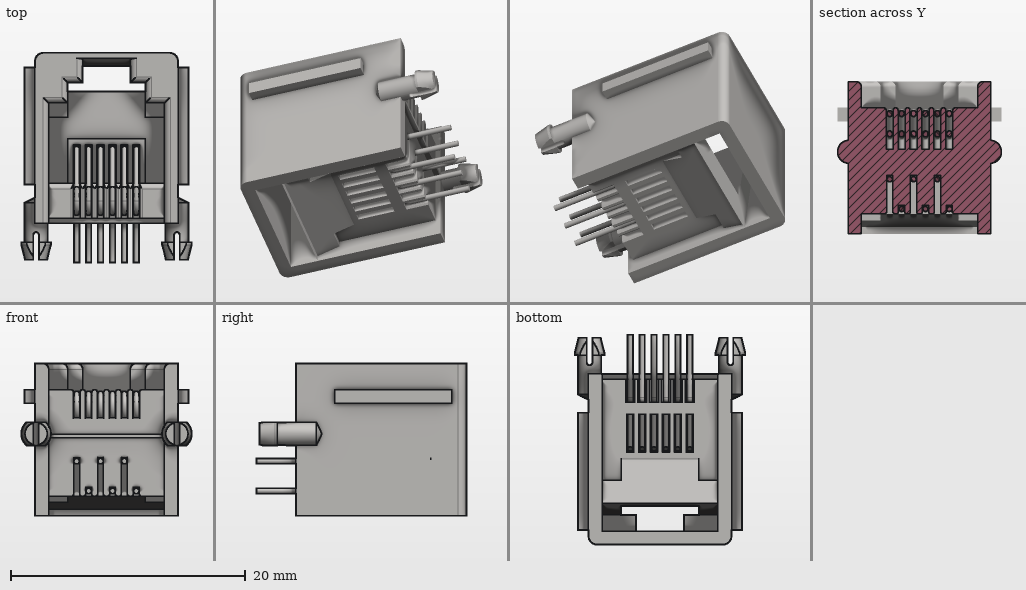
import cadquery as cq
import math


body_width = 12.2
body_depth = 14.55
body_height = 13.0
back_corner_radius = 0.75

main_half_width = 4.93
main_back_y = 10.26
middle_half_width = 3.31
middle_back_y = 12.0
latch_half_width = 2.03
latch_back_y = 14.06
lead_in_radius = 0.5

pocket_back_y = 13.4
pocket_top_z = 9.73
pocket_front_bottom_y = 11.0

floor_bottom_z = 1.68
floor_top_z = 2.5
pad_height = 0.5
pad_top_z = floor_top_z + pad_height
contact_pad_back_y = 7.23
corner_ledge_front_y = 9.04
skirt_end_z = 0.58

carrier_front_y = 0.45
carrier_back_y = 3.44
carrier_top_z = 10.77
bar_bottom_z = 6.65
bar_top_z = 6.97

contact_count = 6
contact_pitch = 1.016
wire_diameter = 0.48
wire_radius = wire_diameter / 2
pin_tip_y = -3.35
low_pin_z = 2.13
pin_row_spacing = 2.54
riser_y = 2.4
wire_bend_radius = 0.4
loop_center_y = 1.93
loop_center_z = 9.39
loop_radius = 1.01
spring_bend_y = 3.0
spring_tip_y = 6.4
spring_angle = 50.0

comb_slot_width = 0.57
comb_slot_bottom_z = 8.39
comb_round_radius = 0.22
floor_slot_back_y = 6.66
pin_slot_width = 0.5
pin_slot_headroom = 0.31
pin_slot_flare = 0.14

rail_half_span = 7.0
rail_front_y = 3.3
rail_length = 10.0
rail_bottom_z = 9.6
rail_height = 1.17

peg_offset = 6.0
peg_z = 7.0
peg_radius = 1.0
peg_root_y = 1.75
peg_cone_tip_y = 2.25
barb_radius = 1.275
barb_back_y = -1.6
barb_band_end_y = -1.8
barb_end_radius = 0.95
peg_end_y = -3.1
peg_slot_width = 0.46
peg_slot_end_y = -0.75


def box(x_range, y_range, z_range):
    """Axis-aligned box between the given limits."""
    size = [high - low for low, high in (x_range, y_range, z_range)]
    corner = (x_range[0], y_range[0], z_range[0])
    return cq.Workplane("XY").box(*size, centered=False).translate(corner)


def side_prism(points, x_low, x_high):
    """Prism along X over a closed outline of (Y, Z) points."""
    return cq.Workplane("YZ").workplane(offset=x_low).polyline(points).close().extrude(x_high - x_low)


def center_span(half_width):
    return (-half_width, half_width)


contact_places = []
for index in range(contact_count):
    contact_x = (index - (contact_count - 1) / 2) * contact_pitch
    in_high_row = index % 2 == 0
    contact_places.append((contact_x, low_pin_z + pin_row_spacing * in_high_row))


def make_shell():
    """Outer block with the stepped plug cavity and its rounded lead-in."""
    shell = box(center_span(body_width / 2), (0, body_depth), (0, body_height))
    shell = shell.edges("|Z and >Y").fillet(back_corner_radius)
    right_side = [
        (main_half_width, 0),
        (main_half_width, main_back_y),
        (middle_half_width, main_back_y),
        (middle_half_width, middle_back_y),
        (latch_half_width, middle_back_y),
        (latch_half_width, latch_back_y),
    ]
    left_side = [(-x, y) for x, y in reversed(right_side)]
    cavity = cq.Workplane("XY").polyline(right_side + left_side).close().extrude(body_height)
    shell = shell.cut(cavity)

    edge_margin = 0.1
    lead_in_zone = cq.selectors.BoxSelector(
        (-main_half_width - edge_margin, -edge_margin, body_height - edge_margin),
        (main_half_width + edge_margin, latch_back_y - edge_margin, body_height + edge_margin),
    )
    return shell.edges(lead_in_zone).fillet(lead_in_radius)


def latch_back_slope():
    """Backing that tilts the back wall of the latch notch and closes it level with the pocket."""
    outline = [
        (latch_back_y, body_height),
        (latch_back_y, 0),
        (pocket_back_y, 0),
        (pocket_back_y, pocket_top_z),
    ]
    half_width = latch_half_width + lead_in_radius
    return side_prism(outline, *center_span(half_width))


def latch_pocket():
    """Drafted relief, as wide as the main cavity, that runs out through the closed end."""
    outline = [
        (pocket_back_y, 0),
        (pocket_back_y, pocket_top_z),
        (middle_back_y, pocket_top_z),
        (pocket_front_bottom_y, 0),
    ]
    return side_prism(outline, *center_span(main_half_width))


def underside_relief():
    """Open space below the floor, with a ceiling that slopes down towards the back."""
    outline = [
        (0, 0),
        (0, floor_bottom_z),
        (contact_pad_back_y, floor_bottom_z),
        (pocket_front_bottom_y, skirt_end_z),
        (pocket_front_bottom_y, 0),
    ]
    relief = side_prism(outline, *center_span(main_half_width))
    for side in (-1, 1):
        x_range = sorted((side * middle_half_width, side * main_half_width))
        relief = relief.union(box(x_range, (0, corner_ledge_front_y), (0, floor_bottom_z)))
    return relief


def make_floor():
    """Floor plate with the contact pad and the two plug-stop ledges standing on it."""
    floor = box(center_span(main_half_width), (carrier_front_y, middle_back_y), (0, floor_top_z))
    floor = floor.union(
        box(center_span(middle_half_width), (carrier_front_y, contact_pad_back_y), (0, pad_top_z))
    )
    for side in (-1, 1):
        x_range = sorted((side * middle_half_width, side * main_half_width))
        floor = floor.union(box(x_range, (corner_ledge_front_y, main_back_y), (0, pad_top_z)))
    return floor


def make_carrier():
    """Block that carries the contacts, with a bar across its front."""
    span = center_span(main_half_width)
    carrier = box(span, (carrier_front_y, carrier_back_y), (floor_bottom_z, carrier_top_z))
    carrier = carrier.edges(">Y and >Z").fillet(lead_in_radius)
    return carrier.union(box(span, (0, carrier_front_y), (bar_bottom_z, bar_top_z)))


def comb_slot(x):
    """Carrier slot with rounded shoulders and a floor that falls like the spring leg."""
    half = comb_slot_width / 2
    shoulder = half + comb_round_radius
    shoulder_z = carrier_top_z - comb_round_radius
    arc_run = comb_round_radius * math.sqrt(0.5)
    floor_drop = (carrier_back_y - carrier_front_y) * math.tan(math.radians(spring_angle))
    falling_floor = [
        (carrier_front_y, comb_slot_bottom_z),
        (carrier_back_y, comb_slot_bottom_z),
        (carrier_back_y, comb_slot_bottom_z - floor_drop),
    ]
    upper_slot = (
        cq.Workplane("XZ", origin=(x, 0, 0))
        .moveTo(-half, comb_slot_bottom_z)
        .lineTo(half, comb_slot_bottom_z)
        .lineTo(half, shoulder_z)
        .threePointArc((shoulder - arc_run, shoulder_z + arc_run), (shoulder, carrier_top_z))
        .lineTo(-shoulder, carrier_top_z)
        .threePointArc((-shoulder + arc_run, shoulder_z + arc_run), (-half, shoulder_z))
        .close()
        .extrude(-carrier_back_y)
    )
    return upper_slot.union(side_prism(falling_floor, x - half, x + half))


def floor_slot(x):
    """Slot through the contact pad below the spring leg."""
    half = comb_slot_width / 2
    return box((x - half, x + half), (carrier_back_y, floor_slot_back_y), (0, pad_top_z))


def pin_slot(x, pin_z):
    """Slot in the carrier front, open and flared at the bottom, that the pin leaves through."""
    half = pin_slot_width / 2
    flared = half + pin_slot_flare
    flare_top_z = floor_bottom_z + pin_slot_flare
    slot_top_z = pin_z + pin_slot_headroom
    outline = [
        (-flared, floor_bottom_z),
        (-half, flare_top_z),
        (-half, slot_top_z),
        (half, slot_top_z),
        (half, flare_top_z),
        (flared, floor_bottom_z),
    ]
    return cq.Workplane("XZ", origin=(x, 0, 0)).polyline(outline).close().extrude(-riser_y)


def make_peg(x):
    """Split snap peg with a conical root and a barbed, flat-sided tip."""
    outline = [
        (0, peg_cone_tip_y),
        (peg_radius, peg_root_y),
        (peg_radius, barb_back_y),
        (barb_radius, barb_back_y),
        (barb_radius, barb_band_end_y),
        (barb_end_radius, peg_end_y),
        (0, peg_end_y),
    ]
    peg = cq.Workplane("XY").polyline(outline).close().revolve(360, (0, 0, 0), (0, 1, 0))
    peg = peg.intersect(
        box(center_span(barb_radius), (peg_end_y, peg_cone_tip_y), center_span(peg_radius))
    )
    slot_center_y = peg_slot_end_y - peg_slot_width / 2
    slot = box(center_span(peg_slot_width / 2), (peg_end_y, slot_center_y), center_span(peg_radius))
    slot_end = (
        cq.Workplane("XY", origin=(0, slot_center_y, -peg_radius))
        .circle(peg_slot_width / 2)
        .extrude(2 * peg_radius)
    )
    return peg.cut(slot).cut(slot_end).translate((x, 0, peg_z))


def make_rails():
    """Guide rails on both outer sides, built as one bar less the space inside the shell."""
    y_range = (rail_front_y, rail_front_y + rail_length)
    z_range = (rail_bottom_z, rail_bottom_z + rail_height)
    bar = box(center_span(rail_half_span), y_range, z_range)
    return bar.cut(box(center_span(body_width / 2), y_range, z_range))


def make_housing(contacts):
    housing = make_shell().union(make_floor()).union(latch_back_slope())
    housing = housing.cut(latch_pocket()).cut(underside_relief())
    carrier = make_carrier()
    for x, _ in contact_places:
        carrier = carrier.cut(comb_slot(x))
    housing = housing.union(carrier)
    for x, pin_z in contact_places:
        housing = housing.cut(floor_slot(x)).cut(pin_slot(x, pin_z))
    housing = housing.union(make_rails())
    for side in (-1, 1):
        housing = housing.union(make_peg(side * peg_offset))
    for contact in contacts:
        housing = housing.cut(contact)
    return housing


def make_contact(x, pin_z):
    """Round wire: board pin, riser in the carrier, loop at the comb front, sprung leg."""
    bend_inset = wire_bend_radius * (1 - math.sqrt(0.5))
    bend_start_y = riser_y - wire_bend_radius
    loop_bottom_z = loop_center_z - loop_radius
    loop_top_z = loop_center_z + loop_radius
    spring_drop = (spring_tip_y - spring_bend_y) * math.tan(math.radians(spring_angle))
    path = (
        cq.Workplane("YZ", origin=(x, 0, 0))
        .moveTo(pin_tip_y, pin_z)
        .lineTo(bend_start_y, pin_z)
        .threePointArc(
            (riser_y - bend_inset, pin_z + bend_inset),
            (riser_y, pin_z + wire_bend_radius),
        )
        .lineTo(riser_y, loop_bottom_z - wire_bend_radius)
        .threePointArc(
            (riser_y - bend_inset, loop_bottom_z - bend_inset),
            (bend_start_y, loop_bottom_z),
        )
        .lineTo(loop_center_y, loop_bottom_z)
        .threePointArc(
            (loop_center_y - loop_radius, loop_center_z),
            (loop_center_y, loop_top_z),
        )
        .lineTo(spring_bend_y, loop_top_z)
        .lineTo(spring_tip_y, loop_top_z - spring_drop)
    )
    section = cq.Workplane("XZ", origin=(x, pin_tip_y, pin_z)).circle(wire_radius)
    return section.sweep(path, transition="right")


contacts = [make_contact(x, pin_z) for x, pin_z in contact_places]
housing = make_housing(contacts)

result = cq.Compound.makeCompound([housing.solids().val(), *[contact.val() for contact in contacts]])